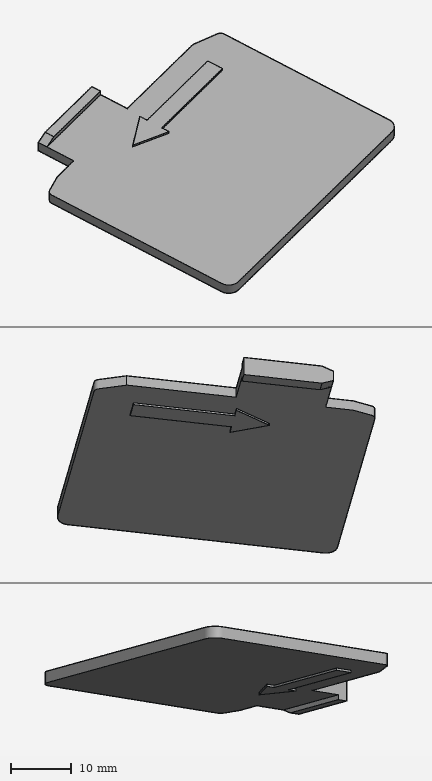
import cadquery as cq

total_length = 45.8
plate_width = 47.0
plate_thickness = 1.97

plate_left = 7.25
upper_bevel_run = 2.05
upper_bevel_rise = 5.05
lower_bevel_run = 1.0
lower_bevel_rise = 3.95
right_corner_radius = 2.0
left_corner_radius = 1.0

tab_bottom = 8.55
tab_length = 15.05
lip_width = 1.8
lip_thickness = 3.6
lip_bevel_length = 1.95

arrow_center_x = 13.2
arrow_tip_y = 16.9
arrow_length = 23.12
head_length = 6.1
head_width = 6.0
shaft_width = 3.0
arrow_height = 0.38


def make_plate():
    """Flat plate with two bevelled left corners, rounded at the ends of both long edges."""
    plate = (
        cq.Workplane("XY")
        .polyline([
            (plate_left + lower_bevel_run, 0),
            (total_length, 0),
            (total_length, plate_width),
            (plate_left + upper_bevel_run, plate_width),
            (plate_left, plate_width - upper_bevel_rise),
            (plate_left, lower_bevel_rise),
        ])
        .close()
        .extrude(plate_thickness / 2, both=True)
    )
    plate = plate.edges("|Z").edges("(<Y or >Y) and (not >X)").fillet(left_corner_radius)
    return plate.edges("|Z and >X").fillet(right_corner_radius)


def make_tab():
    """Tab as thick as the plate, reaching from the lip to the plate edge."""
    return (
        cq.Workplane("XY")
        .box(plate_left + lip_width, tab_length, plate_thickness, centered=(False, False, True))
        .translate((0, tab_bottom, 0))
    )


def make_lip():
    """Thick lip, tapered at its lower end down to the plate thickness."""
    tab_top = tab_bottom + tab_length
    bevel_top = tab_bottom + lip_bevel_length
    return (
        cq.Workplane("YZ")
        .polyline([
            (tab_top, -lip_thickness / 2),
            (tab_top, lip_thickness / 2),
            (bevel_top, lip_thickness / 2),
            (tab_bottom, plate_thickness / 2),
            (tab_bottom, -plate_thickness / 2),
            (bevel_top, -lip_thickness / 2),
        ])
        .close()
        .extrude(lip_width)
    )


def make_arrows():
    """One arrow through the plate, standing proud of both faces."""
    head_base_y = arrow_tip_y + head_length
    tail_y = arrow_tip_y + arrow_length
    return (
        cq.Workplane("XY")
        .polyline([
            (arrow_center_x, arrow_tip_y),
            (arrow_center_x + head_width / 2, head_base_y),
            (arrow_center_x + shaft_width / 2, head_base_y),
            (arrow_center_x + shaft_width / 2, tail_y),
            (arrow_center_x - shaft_width / 2, tail_y),
            (arrow_center_x - shaft_width / 2, head_base_y),
            (arrow_center_x - head_width / 2, head_base_y),
        ])
        .close()
        .extrude(plate_thickness / 2 + arrow_height, both=True)
    )


result = make_plate().union(make_tab()).union(make_lip()).union(make_arrows())